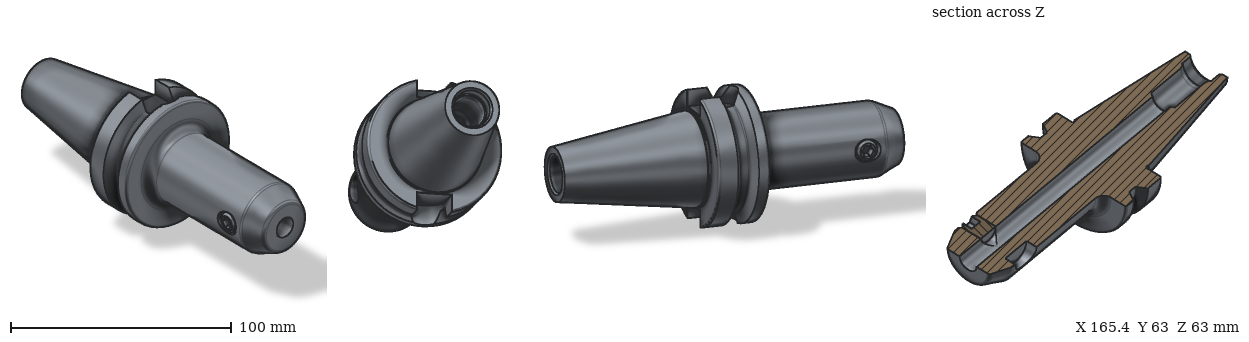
import cadquery as cq
import math

gauge_x = 65.4
gauge_radius = 44.45 / 2
taper_ratio = 7 / 24
projection = 100.0
total_length = gauge_x + projection
taper_small_radius = gauge_radius - gauge_x * taper_ratio / 2

rim_length = 0.4
relief_radius = 21.9
relief_fillet = 0.5

flange_radius = 31.5
flange_start = gauge_x + 2.0
flange_end = gauge_x + 27.0
flange_edge = 1.0
groove_x = gauge_x + 16.6
groove_width = 10.0
groove_floor_radius = 26.5
groove_wall_angle = 30.0
groove_fillet = 0.7

shank_radius = 17.5
shank_fillet = 5.0
nose_length = 10.8
nose_angle = 24.0
nose_edge_fillet = 2.0
nose_start_fillet = 3.0

slot_width = 16.1
slot_floor = 22.5
slot_end = gauge_x + 23.2
slot_edge = 0.3

bore_radius = 5.0
thread_radius = 7.0
pilot_radius = 8.5
mouth_radius = 9.5
pilot_depth = 7.0
thread_lead_radius = 7.7
thread_start = 9.8
thread_depth = 30.0
drill_point_angle = 59.0

screw_x = total_length - 20.0
screw_radius = 5.0
screw_tip_radius = 3.65
screw_top = shank_radius
socket_across_flats = 5.0
socket_depth = 5.0
countersink_depth = 1.3
back_hole_radius = 7.25
back_hole_depth = 6.0


def cone(start_x, start_radius, end_x, end_radius):
    """Solid cone or cylinder about the X axis."""
    return (
        cq.Workplane("XY")
        .moveTo(start_x, 0)
        .lineTo(start_x, start_radius)
        .lineTo(end_x, end_radius)
        .lineTo(end_x, 0)
        .close()
        .revolve(360, (0, 0, 0), (1, 0, 0))
    )


def make_taper():
    """Taper with a short rim, then a relief that is rounded into the flange face."""
    rim_end = gauge_x + rim_length
    step_end = rim_end + gauge_radius - relief_radius
    return (
        cq.Workplane("XY")
        .lineTo(0, taper_small_radius)
        .lineTo(gauge_x, gauge_radius)
        .lineTo(rim_end, gauge_radius)
        .lineTo(step_end, relief_radius)
        .lineTo(flange_start - relief_fillet, relief_radius)
        .radiusArc((flange_start, relief_radius + relief_fillet), -relief_fillet)
        .lineTo(flange_start, 0)
        .close()
        .revolve(360, (0, 0, 0), (1, 0, 0))
    )


def make_flange():
    depth = flange_radius - groove_floor_radius
    half_top = groove_width / 2
    half_floor = half_top - depth * math.tan(math.radians(groove_wall_angle))
    rim = cone(flange_start, flange_radius, flange_end, flange_radius)
    rim = rim.edges().fillet(flange_edge)
    groove = (
        cq.Workplane("XY")
        .moveTo(groove_x - half_top, flange_radius)
        .lineTo(groove_x - half_floor, groove_floor_radius)
        .lineTo(groove_x + half_floor, groove_floor_radius)
        .lineTo(groove_x + half_top, flange_radius)
        .close()
        .revolve(360, (0, 0, 0), (1, 0, 0))
        .edges(cq.selectors.RadiusNthSelector(0))
        .fillet(groove_fillet)
    )
    return rim.cut(groove)


def make_shank():
    nose_start = total_length - nose_length
    nose_end_radius = shank_radius - nose_length * math.tan(math.radians(nose_angle))
    root = (
        cq.Workplane("XY")
        .moveTo(flange_end, 0)
        .lineTo(flange_end, shank_radius + shank_fillet)
        .radiusArc((flange_end + shank_fillet, shank_radius), -shank_fillet)
        .lineTo(flange_end + shank_fillet, 0)
        .close()
        .revolve(360, (0, 0, 0), (1, 0, 0))
    )
    barrel = (
        cq.Workplane("XY")
        .moveTo(flange_end, 0)
        .lineTo(flange_end, shank_radius)
        .lineTo(nose_start, shank_radius)
        .lineTo(total_length, nose_end_radius)
        .lineTo(total_length, 0)
        .close()
        .revolve(360, (0, 0, 0), (1, 0, 0))
    )
    nose_rim = barrel.faces("%CONE").edges("%CIRCLE").edges("<X")
    barrel = nose_rim.fillet(nose_start_fillet)
    barrel = barrel.faces(">X").edges().fillet(nose_edge_fillet)
    return barrel.union(root)


def make_drive_slot(side):
    """Round-ended slot cutter on the +Z (side = 1) or -Z (side = -1) side of the flange."""
    half_width = slot_width / 2
    arc_start = slot_end - half_width
    slot = (
        cq.Workplane("XY", origin=(0, 0, side * slot_floor))
        .moveTo(flange_start, -half_width)
        .lineTo(arc_start, -half_width)
        .threePointArc((slot_end, 0), (arc_start, half_width))
        .lineTo(flange_start, half_width)
        .close()
        .extrude(side * flange_radius)
    )
    mouth_height = 2 * (flange_radius - slot_floor + slot_edge)
    mouth_center = slot_floor - slot_edge + mouth_height / 2
    mouth = (
        cq.Workplane("YZ", origin=(flange_start, 0, 0))
        .center(0, side * mouth_center)
        .rect(slot_width + 2 * slot_edge, mouth_height)
        .extrude(slot_edge, taper=45)
    )
    return slot.union(mouth)


def make_slotted_flange():
    flange = make_flange()
    for side in (1, -1):
        flange = flange.cut(make_drive_slot(side))
    return flange


def make_bore():
    mouth_depth = mouth_radius - pilot_radius
    point_length = (thread_radius - bore_radius) / math.tan(math.radians(drill_point_angle))
    return (
        cone(0, bore_radius, total_length, bore_radius)
        .union(cone(0, mouth_radius, mouth_depth, pilot_radius))
        .union(cone(0, pilot_radius, pilot_depth, pilot_radius))
        .union(cone(pilot_depth, thread_lead_radius, thread_start, thread_radius))
        .union(cone(thread_start, thread_radius, thread_depth, thread_radius))
        .union(cone(thread_depth, thread_radius, thread_depth + point_length, bore_radius))
    )


def side_plane(y):
    """Workplane at the screw position, facing -Y."""
    return cq.Workplane("XZ", origin=(screw_x, y, 0))


def make_screw_hole():
    """Threaded hole from the axis out through the -Y side, with a 45 degree countersink."""
    straight = side_plane(0).circle(screw_radius).extrude(shank_radius)
    countersink = (
        cq.Workplane("XY", origin=(screw_x, 0, 0))
        .moveTo(0, -shank_radius + countersink_depth)
        .lineTo(screw_radius, -shank_radius + countersink_depth)
        .lineTo(screw_radius + countersink_depth, -shank_radius)
        .lineTo(0, -shank_radius)
        .close()
        .revolve(360, (0, 0, 0), (0, 1, 0))
    )
    return straight.union(countersink)


def make_back_hole():
    return side_plane(shank_radius).circle(back_hole_radius).extrude(back_hole_depth)


def make_holder():
    body = make_taper().union(make_slotted_flange()).union(make_shank())
    return body.cut(make_bore()).cut(make_screw_hole()).cut(make_back_hole())


def make_screw():
    """Set screw reaching from the bore to the shank surface, with a hexagon socket."""
    length = screw_top - bore_radius
    socket_diameter = socket_across_flats / math.cos(math.radians(30))
    return (
        side_plane(-bore_radius)
        .circle(screw_radius)
        .extrude(length)
        .faces("<Y").edges().chamfer(screw_radius - screw_tip_radius)
        .faces("<Y").workplane(centerOption="CenterOfMass")
        .polygon(6, socket_diameter)
        .cutBlind(-socket_depth)
    )


holder = make_holder()
screw = make_screw()

result = cq.Compound.makeCompound([holder.val(), screw.val()])